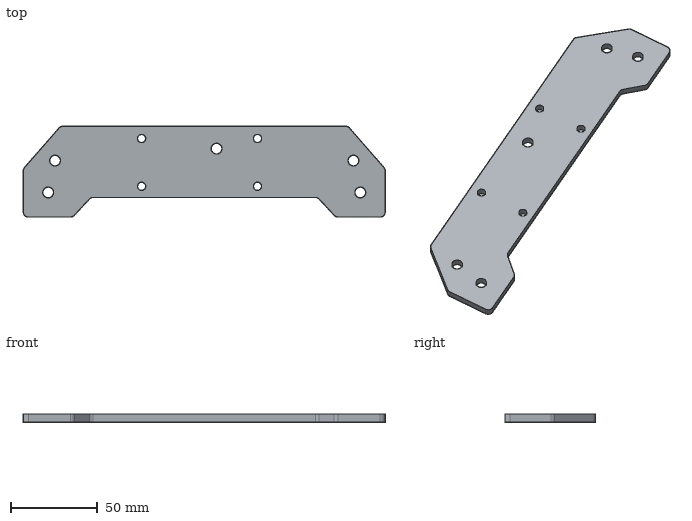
import cadquery as cq

length = 209.0
width = 52.5
thickness = 4.8
corner_radius = 3.0

shoulder_run = 21.5
shoulder_drop = 24.7
foot_width = 28.6
recess_slope_run = 10.5
recess_depth = 11.3

large_diameter = 6.0
upper_end_hole_x = 86.1
upper_end_hole_y = 32.5
lower_end_hole_x = 90.0
lower_end_hole_y = 14.2
single_hole_x = 7.1
single_hole_y = 39.5

small_diameter = 4.5
pattern_center_x = -2.7
pattern_center_y = 31.5
pattern_spacing_x = 66.9
pattern_spacing_y = 27.5


def make_plate():
    """Symmetric plate with rounded vertical edges, front edge of the feet at Y = 0."""
    half_length = length / 2
    foot_inner_x = half_length - foot_width
    right_side = [
        (foot_inner_x - recess_slope_run, recess_depth),
        (foot_inner_x, 0),
        (half_length, 0),
        (half_length, width - shoulder_drop),
        (half_length - shoulder_run, width),
    ]
    left_side = [(-x, y) for x, y in reversed(right_side)]
    plate = cq.Workplane("XY").polyline(right_side + left_side).close().extrude(thickness)
    return plate.edges("|Z").fillet(corner_radius)


def drill(body, points, diameter):
    """Cut round through holes at the given points."""
    cutters = cq.Workplane("XY").pushPoints(points).circle(diameter / 2).extrude(thickness)
    return body.cut(cutters)


large_holes = [(single_hole_x, single_hole_y)]
for side in (-1, 1):
    large_holes.append((side * upper_end_hole_x, upper_end_hole_y))
    large_holes.append((side * lower_end_hole_x, lower_end_hole_y))

small_holes = [
    (pattern_center_x + i * pattern_spacing_x / 2, pattern_center_y + j * pattern_spacing_y / 2)
    for i in (-1, 1)
    for j in (-1, 1)
]

result = make_plate()
result = drill(result, large_holes, large_diameter)
result = drill(result, small_holes, small_diameter)